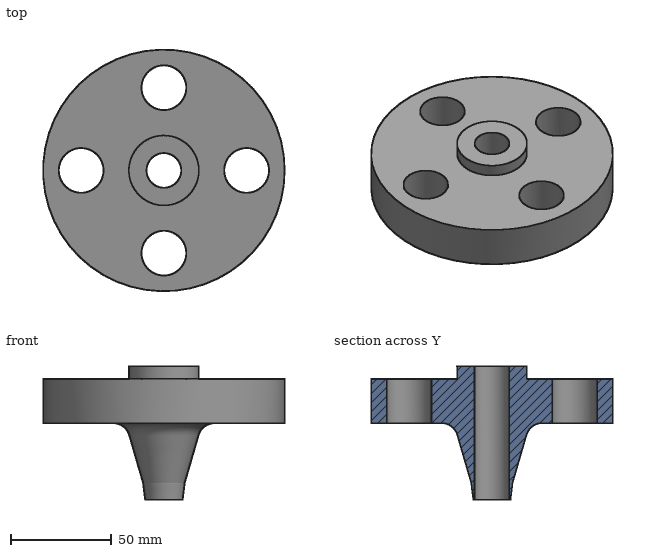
import cadquery as cq
import math

flange_diameter = 120.65
flange_thickness = 22.225
raised_face_diameter = 34.925
raised_face_height = 6.35
overall_height = 66.675

bolt_count = 4
bolt_hole_diameter = 22.225
bolt_circle_diameter = 82.55

hub_base_diameter = 38.1
hub_fillet_radius = 7.94
band_diameter = 20.8
band_height = 0.4
tip_diameter = 18.8
tip_length = 8.0
bore_diameter = 17.2

flange_top_z = overall_height - raised_face_height
flange_bottom_z = flange_top_z - flange_thickness
band_top_z = tip_length + band_height

hub_base_radius = hub_base_diameter / 2
band_radius = band_diameter / 2
taper_angle = math.atan2(hub_base_radius - band_radius, flange_bottom_z - band_top_z)
fillet_turn = math.pi / 2 - taper_angle
fillet_tangent_length = hub_fillet_radius * math.tan(fillet_turn / 2)
fillet_center_x = hub_base_radius + fillet_tangent_length
fillet_center_z = flange_bottom_z - hub_fillet_radius


def fillet_point(turn):
    """Point on the hub fillet, turned by this angle from the flange underside."""
    return (
        fillet_center_x - hub_fillet_radius * math.sin(turn),
        fillet_center_z + hub_fillet_radius * math.cos(turn),
    )


def make_body():
    """Flange, raised face and neck revolved around the Z axis."""
    profile = (
        cq.Workplane("XZ")
        .moveTo(0, 0)
        .lineTo(tip_diameter / 2, 0)
        .lineTo(band_radius, tip_length)
        .lineTo(band_radius, band_top_z)
        .lineTo(*fillet_point(fillet_turn))
        .threePointArc(fillet_point(fillet_turn / 2), fillet_point(0))
        .lineTo(flange_diameter / 2, flange_bottom_z)
        .lineTo(flange_diameter / 2, flange_top_z)
        .lineTo(raised_face_diameter / 2, flange_top_z)
        .lineTo(raised_face_diameter / 2, overall_height)
        .lineTo(0, overall_height)
        .close()
    )
    return profile.revolve(360, (0, 0, 0), (0, 1, 0))


def make_bore():
    """Straight bore through the full height."""
    return cq.Workplane("XY").circle(bore_diameter / 2).extrude(overall_height)


def make_bolt_holes():
    """Bolt holes through the flange, evenly spaced from the +X axis."""
    return (
        cq.Workplane("XY")
        .workplane(offset=flange_bottom_z)
        .polarArray(bolt_circle_diameter / 2, 0, 360, bolt_count)
        .circle(bolt_hole_diameter / 2)
        .extrude(flange_thickness)
    )


result = make_body().cut(make_bore()).cut(make_bolt_holes())